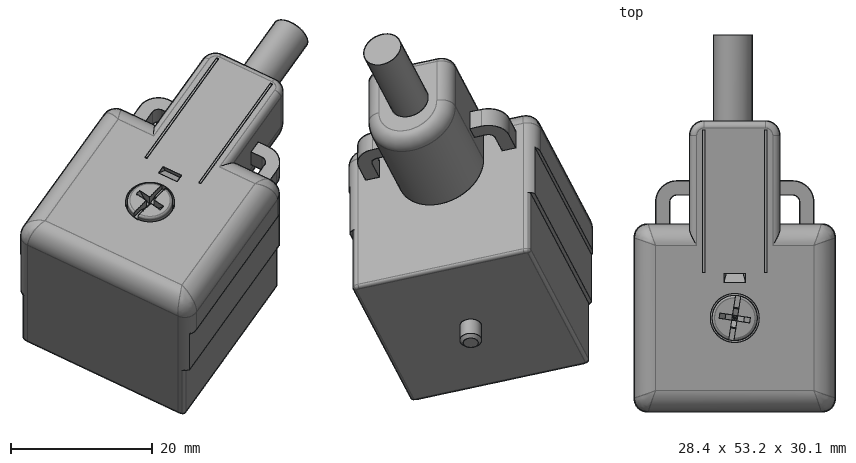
import cadquery as cq


OVERALL_LENGTH = 53.15

BLOCK_WIDTH = 28.4
BLOCK_DEPTH = 26.5
BLOCK_HEIGHT = 26.45
BLOCK_CORNER_RADIUS = 1.9
BLOCK_TOP_RADIUS = 3.05
BLOCK_BOTTOM_RADIUS = 0.5
BLOCK_REAR_Y = BLOCK_DEPTH / 2

UPPER_STEP_TOP_Z = 19.25
UPPER_STEP_HALF_WIDTH = 13.75
LOWER_STEP_TOP_Z = 10.75
LOWER_STEP_HALF_WIDTH = 13.25

NECK_WIDTH = 12.75
NECK_END_Y = 27.8
NECK_ROUND_AXIS_Z = 18.35
NECK_END_RADIUS = 2.05
NECK_TOP_RADIUS = 1.0

LOOP_WIDTH = 22.3
LOOP_END_Y = 19.35
LOOP_BOTTOM_Z = UPPER_STEP_TOP_Z
LOOP_HEIGHT = 3.1
LOOP_THICKNESS = 2.0
LOOP_OUTER_RADIUS = 3.05

GROOVE_SPACING = 8.75
GROOVE_WIDTH = 0.3
GROOVE_START_Y = 6.45
GROOVE_END_Y = 26.45
NOTCH_WIDTH = 3.05
NOTCH_LENGTH = 1.3
NOTCH_DEPTH = 0.7
NOTCH_SIDE_TAPER = 0.3
NOTCH_REAR_Y = 6.25

CABLE_RADIUS = 2.75
CABLE_OFFSET_X = -0.25
CABLE_AXIS_Z = 19.25
CABLE_END_Y = OVERALL_LENGTH - BLOCK_REAR_Y

HEAD_RADIUS = 3.2
HEAD_RISE = 0.5
HEAD_HEIGHT = 3.05
HEAD_EDGE_RADIUS = 0.345
HEAD_RECESS_RADIUS = 3.45
HEAD_TOP_Z = BLOCK_HEIGHT + HEAD_RISE
HEAD_SEAT_Z = HEAD_TOP_Z - HEAD_HEIGHT
SHANK_RADIUS = 1.55
SHANK_PROTRUSION = 3.1
SHANK_CHAMFER = 0.5

DRIVE_ANGLE = -8.8
DRIVE_WIDTH = 0.75
SLOT_DEPTH = 1.0
CROSS_TOP_REACH = 2.2
CROSS_KNEE_REACH = 1.35
CROSS_KNEE_DEPTH = 1.2
CROSS_TIP_DEPTH = 1.8

SELECT_TOLERANCE = 0.005


def cut_side_step(block, top_z, half_width):
    """Trim both sides of the block to a half width, from the underside up to top_z."""
    kept_slab = cq.Workplane("XY").box(2 * half_width, BLOCK_DEPTH, top_z, centered=(True, True, False))
    full_slab = cq.Workplane("XY").box(BLOCK_WIDTH, BLOCK_DEPTH, top_z, centered=(True, True, False))
    return block.cut(full_slab.cut(kept_slab))


def make_block():
    """Box with a rounded top, rounded corners, stepped sides and a softened lower end."""
    block = cq.Workplane("XY").box(BLOCK_WIDTH, BLOCK_DEPTH, BLOCK_HEIGHT, centered=(True, True, False))
    block = block.faces(">Z").edges().fillet(BLOCK_TOP_RADIUS)
    block = block.edges("|Z").fillet(BLOCK_CORNER_RADIUS)
    block = cut_side_step(block, UPPER_STEP_TOP_Z, UPPER_STEP_HALF_WIDTH)
    block = cut_side_step(block, LOWER_STEP_TOP_Z, LOWER_STEP_HALF_WIDTH)
    lower_step_corners = block.edges("|Z").filter(
        lambda edge: abs(abs(edge.Center().x) - LOWER_STEP_HALF_WIDTH) < SELECT_TOLERANCE
    )
    return block.faces("<Z").edges().add(lower_step_corners).fillet(BLOCK_BOTTOM_RADIUS)


def make_neck():
    """U-shaped neck, flat on top and round below, running from mid-block to the cable."""
    radius = NECK_WIDTH / 2
    neck = (
        cq.Workplane("XZ")
        .moveTo(-radius, BLOCK_HEIGHT)
        .lineTo(-radius, NECK_ROUND_AXIS_Z)
        .threePointArc((0, NECK_ROUND_AXIS_Z - radius), (radius, NECK_ROUND_AXIS_Z))
        .lineTo(radius, BLOCK_HEIGHT)
        .close()
        .extrude(-NECK_END_Y)
    )
    end_edges = neck.faces(">Y").edges().filter(
        lambda edge: edge.Center().z < BLOCK_HEIGHT - SELECT_TOLERANCE
    )
    neck = end_edges.fillet(NECK_END_RADIUS)
    top_edges = neck.faces(">Z").edges().filter(lambda edge: edge.Center().y > SELECT_TOLERANCE)
    return top_edges.fillet(NECK_TOP_RADIUS)


def rounded_bar(width, end_y, corner_radius):
    """Flat plate whose far end, at end_y, has rounded corners."""
    return (
        cq.Workplane("XY", origin=(0, 0, LOOP_BOTTOM_Z))
        .rect(width, 2 * end_y)
        .extrude(LOOP_HEIGHT)
        .edges("|Z")
        .fillet(corner_radius)
    )


def make_loop():
    """U-shaped loop from the rear of the block, passing through the neck."""
    outer = rounded_bar(LOOP_WIDTH, LOOP_END_Y, LOOP_OUTER_RADIUS)
    inner = rounded_bar(
        LOOP_WIDTH - 2 * LOOP_THICKNESS,
        LOOP_END_Y - LOOP_THICKNESS,
        LOOP_OUTER_RADIUS - LOOP_THICKNESS,
    )
    behind_block = (
        cq.Workplane("XY", origin=(0, BLOCK_REAR_Y, LOOP_BOTTOM_Z))
        .box(LOOP_WIDTH, LOOP_END_Y, LOOP_HEIGHT, centered=(True, False, False))
    )
    return outer.cut(inner).intersect(behind_block)


def make_groove(center_x):
    """Cutter for one groove: a rod lying half sunk in the top face."""
    return (
        cq.Workplane("XZ", origin=(center_x, GROOVE_START_Y, BLOCK_HEIGHT))
        .circle(GROOVE_WIDTH / 2)
        .extrude(GROOVE_START_Y - GROOVE_END_Y)
    )


def make_notch():
    """Cutter for the notch: its floor slopes down to the rear and its ends taper inward."""
    floor_z = BLOCK_HEIGHT - NOTCH_DEPTH
    wedge = (
        cq.Workplane("YZ")
        .polyline([
            (NOTCH_REAR_Y - NOTCH_LENGTH, BLOCK_HEIGHT),
            (NOTCH_REAR_Y, BLOCK_HEIGHT),
            (NOTCH_REAR_Y, floor_z),
        ])
        .close()
        .extrude(NOTCH_WIDTH / 2, both=True)
    )
    top_x = NOTCH_WIDTH / 2
    floor_x = top_x - NOTCH_SIDE_TAPER
    tapered_sides = (
        cq.Workplane("XZ")
        .polyline([(-top_x, BLOCK_HEIGHT), (top_x, BLOCK_HEIGHT), (floor_x, floor_z), (-floor_x, floor_z)])
        .close()
        .extrude(-NOTCH_REAR_Y)
    )
    return wedge.intersect(tapered_sides)


def make_screw_hole():
    """Cutter for the through hole and the recess around the screw head."""
    shank_hole = cq.Workplane("XY").circle(SHANK_RADIUS).extrude(HEAD_SEAT_Z)
    head_recess = (
        cq.Workplane("XY", origin=(0, 0, HEAD_SEAT_Z))
        .circle(HEAD_RECESS_RADIUS)
        .extrude(BLOCK_HEIGHT - HEAD_SEAT_Z)
    )
    return shank_hole.union(head_recess)


def make_housing():
    """Block, neck and loop moulded in one piece."""
    body = make_block().union(make_neck()).union(make_loop())
    for side in (-1, 1):
        body = body.cut(make_groove(side * GROOVE_SPACING / 2))
    return body.cut(make_notch()).cut(make_screw_hole())


def make_drive():
    """Cutter for the slot across the head and the pointed cross at its centre."""
    drive = (
        cq.Workplane("XY", origin=(0, 0, -SLOT_DEPTH))
        .box(DRIVE_WIDTH, 2 * HEAD_RADIUS, SLOT_DEPTH, centered=(True, True, False))
    )
    arm = (
        cq.Workplane("XZ")
        .polyline([
            (-CROSS_TOP_REACH, 0),
            (-CROSS_KNEE_REACH, -CROSS_KNEE_DEPTH),
            (0, -CROSS_TIP_DEPTH),
            (CROSS_KNEE_REACH, -CROSS_KNEE_DEPTH),
            (CROSS_TOP_REACH, 0),
        ])
        .close()
        .extrude(DRIVE_WIDTH / 2, both=True)
    )
    for arm_angle in (0, 90):
        drive = drive.union(arm.rotate((0, 0, 0), (0, 0, 1), arm_angle))
    return drive.rotate((0, 0, 0), (0, 0, 1), DRIVE_ANGLE).translate((0, 0, HEAD_TOP_Z))


def make_screw():
    """Screw with a round-edged head and a shank whose tip sticks out below the block."""
    shank = (
        cq.Workplane("XY", origin=(0, 0, -SHANK_PROTRUSION))
        .circle(SHANK_RADIUS)
        .extrude(SHANK_PROTRUSION + HEAD_SEAT_Z)
        .faces("<Z")
        .chamfer(SHANK_CHAMFER)
    )
    head = (
        cq.Workplane("XY", origin=(0, 0, HEAD_SEAT_Z))
        .circle(HEAD_RADIUS)
        .extrude(HEAD_HEIGHT)
        .faces(">Z")
        .fillet(HEAD_EDGE_RADIUS)
    )
    return shank.union(head).cut(make_drive())


def make_cable():
    """Round cable leaving the end face of the neck."""
    return (
        cq.Workplane("XZ", origin=(CABLE_OFFSET_X, NECK_END_Y, CABLE_AXIS_Z))
        .circle(CABLE_RADIUS)
        .extrude(NECK_END_Y - CABLE_END_Y)
    )


housing = make_housing()
screw = make_screw()
cable = make_cable()

result = cq.Compound.makeCompound([housing.val(), screw.val(), cable.val()])